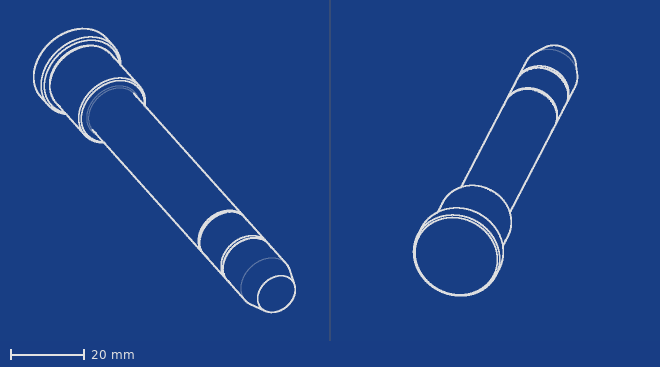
import cadquery as cq

length = 132.0
head_diameter = 24.0
collar_diameter = 20.0
shaft_diameter = 15.0

head_end = 6.1
collar_end = 26.0
nose_start = 125.0

head_front_chamfer = 0.5
head_back_chamfer = 0.7
collar_chamfer = 0.5
relief_length = 0.8
relief_depth = 0.3
neck_fillet = 0.4

nose_diameter = 11.4

grooves = [(98.0, 0.8), (112.9, 1.2)]
groove_depth = 0.4

head_radius = head_diameter / 2
collar_radius = collar_diameter / 2
shaft_radius = shaft_diameter / 2


def make_body():
    """Revolve the stepped half profile about the X axis."""
    profile = (
        cq.Workplane("XY")
        .lineTo(0, head_radius - head_front_chamfer)
        .lineTo(head_front_chamfer, head_radius)
        .lineTo(head_end - head_back_chamfer, head_radius)
        .lineTo(head_end, head_radius - head_back_chamfer)
        .lineTo(head_end, collar_radius - relief_depth)
        .lineTo(head_end + relief_length, collar_radius)
        .lineTo(collar_end - collar_chamfer, collar_radius)
        .lineTo(collar_end, collar_radius - collar_chamfer)
        .lineTo(collar_end, shaft_radius + neck_fillet)
        .radiusArc((collar_end + neck_fillet, shaft_radius), -neck_fillet)
        .lineTo(nose_start, shaft_radius)
        .lineTo(length, nose_diameter / 2)
        .lineTo(length, 0)
        .close()
    )
    return profile.revolve(360, (0, 0, 0), (1, 0, 0))


def make_groove(centre, width):
    """Ring with an arc section that bulges toward the axis."""
    section = (
        cq.Workplane("XY")
        .moveTo(centre - width / 2, shaft_radius)
        .threePointArc((centre, shaft_radius - groove_depth), (centre + width / 2, shaft_radius))
        .close()
    )
    return section.revolve(360, (0, 0, 0), (1, 0, 0))


result = make_body()
for groove_centre, groove_width in grooves:
    result = result.cut(make_groove(groove_centre, groove_width))

result = result.translate((-length / 2, 0, 0))